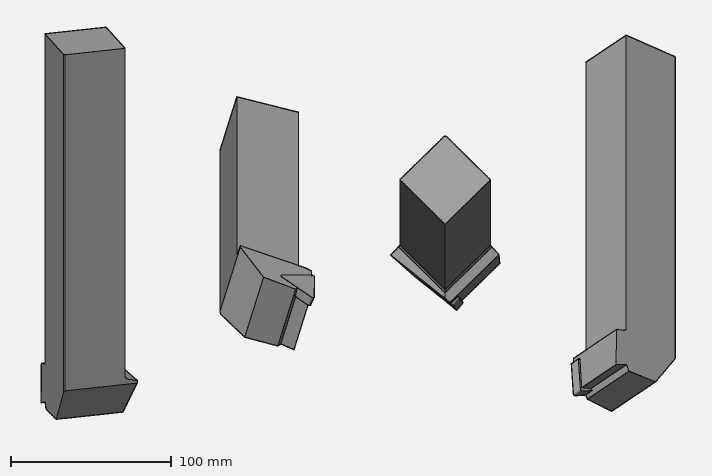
import cadquery as cq
import math

shank_size = 40.0
total_height = 251.4
edge_chamfer = 0.8

head_left_top_x = -7.5
head_back = 50.3
shoulder_height = 32.0
shoulder_angle = 15.0
shoulder_drop = math.tan(math.radians(shoulder_angle))
shoulder_chamfer = 1.3
head_left_bottom = (-8.3, 3.3)
notch_top = (0.3, 6.8)
notch_foot = (2.3, 2.8)
heel = (23.6, 3.5)
heel_top = 28.2

rake_offset = 40.7
rake_angle = 6.0
rake_slope_x = math.tan(math.radians(rake_angle))
rake_slope_z = math.tan(math.radians(rake_angle))

insert_side = 27.5
insert_thickness = 6.3
insert_nose_radius = 1.3
insert_lead_angle = 1.7
insert_corner_angle = 60.0
insert_tip_x = -10.3
insert_tip_z = -0.88


def rake_plane(x, z):
    """Workplane on the rake face; local x runs along +X and local y runs along -Z."""
    y = rake_offset + rake_slope_x * x + rake_slope_z * z
    return cq.Plane(
        origin=(x, y, z),
        xDir=(1, rake_slope_x, 0),
        normal=(-rake_slope_x, 1, -rake_slope_z),
    )


def chamfer_shoulder(body, x, y):
    """Fill the concave edge between a shoulder and the shank with a small flat."""
    reach = 0.13
    corner = cq.selectors.BoxSelector(
        (x - reach, y - reach, shoulder_height - reach),
        (x + reach, y + reach, shoulder_height + reach),
    )
    return body.edges(corner).chamfer(shoulder_chamfer)


def make_side_profile_body():
    """Outline across X and Z, run through the full depth."""
    left_shoulder = shoulder_height + shoulder_drop * head_left_top_x
    body = (
        cq.Workplane("XZ")
        .polyline([
            (0, total_height),
            (0, shoulder_height),
            (head_left_top_x, left_shoulder),
            head_left_bottom,
            notch_top,
            notch_foot,
            heel,
            (shank_size, heel_top),
            (shank_size, total_height),
        ])
        .close()
        .extrude(-head_back)
    )
    return chamfer_shoulder(body, 0, head_back / 2)


def make_depth_profile_body():
    """Outline across Y and Z, run through the full width."""
    left = head_left_bottom[0]
    back_shoulder = shoulder_height - shoulder_drop * (head_back - shank_size)
    width = shank_size - left
    body = (
        cq.Workplane("YZ", origin=(left, 0, 0))
        .polyline([
            (0, 0),
            (head_back, 0),
            (head_back, back_shoulder),
            (shank_size, shoulder_height),
            (shank_size, total_height),
            (0, total_height),
        ])
        .close()
        .extrude(width)
    )
    return chamfer_shoulder(body, left + width / 2, shank_size)


def make_rake_cutter():
    """Block behind the rake plane, no taller than the head."""
    span = 2 * total_height
    behind_rake = cq.Workplane(rake_plane(0, 0)).rect(span, span).extrude(head_back)
    head_zone = cq.Workplane("XY").rect(span, span).extrude(shoulder_height + shoulder_chamfer)
    return behind_rake.intersect(head_zone)


def make_insert():
    """Triangular cutting insert with one corner at the lower left of the head."""
    lower_edge_angle = 90 - insert_lead_angle - insert_corner_angle
    upright_angle = 90 - insert_lead_angle

    def corner(angle):
        turn = math.radians(angle)
        return (insert_side * math.cos(turn), -insert_side * math.sin(turn))

    return (
        cq.Workplane(rake_plane(insert_tip_x, insert_tip_z))
        .polyline([(0, 0), corner(lower_edge_angle), corner(upright_angle)])
        .close()
        .extrude(-insert_thickness)
        .edges(cq.selectors.ParallelDirSelector(rake_plane(0, 0).zDir))
        .fillet(insert_nose_radius)
    )


def make_edge_chamfer_cutter():
    """Prism that takes off the long front right edge."""
    return (
        cq.Workplane("XY")
        .polyline([
            (shank_size, 0),
            (shank_size - edge_chamfer, 0),
            (shank_size, edge_chamfer),
        ])
        .close()
        .extrude(total_height)
    )


def make_holder(insert_body):
    """Holder shaped by its two outlines, with a pocket that matches the insert."""
    blank = make_side_profile_body().intersect(make_depth_profile_body())
    return blank.cut(make_edge_chamfer_cutter()).cut(make_rake_cutter()).cut(insert_body)


insert = make_insert()
holder = make_holder(insert)
result = cq.Compound.makeCompound([holder.val(), insert.val()])